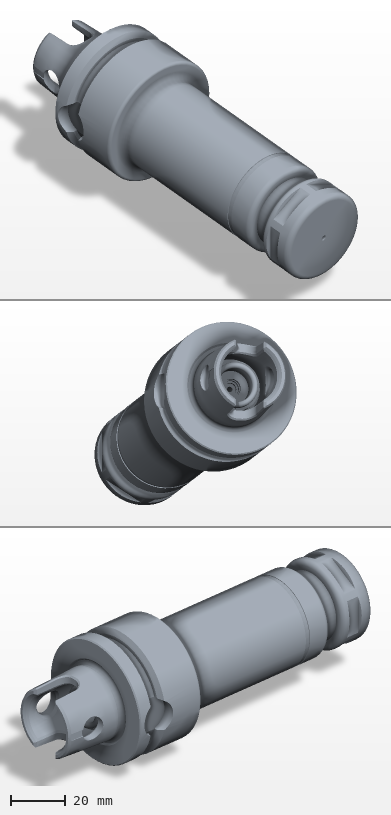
import cadquery as cq
import math

total_length = 145.0

face_x = 25.0
gauge_radius = 15.01
taper_slope = 1 / 20
taper_end_x = 22.9
nose_chamfer_length = 1.0
nose_chamfer_depth = 0.6
bore_radius = 10.7
bore_chamfer_length = 0.9
bore_chamfer_depth = 0.7
bore_lead_length = 0.9
bore_lead_depth = 0.6
bore_depth = 24.6

neck_radius = 14.8
neck_chamfer_length = 0.5
root_fillet = 1.0
recess_radius = 17.0
recess_depth = 0.6
recess_wall_width = 0.7

flange_radius = 25.01
flange_end_x = 55.0
face_chamfer = 0.5
flange_rim_fillet = 1.2
groove_start_x = 30.6
groove_end_x = 37.3
groove_flank_length = 1.3
groove_flank_radius = 22.8
groove_floor_radius = 21.3

body_radius = 18.0
body_root_fillet = 2.8
body_end_x = 124.0
body_end_fillet = 1.9
ring_start_x = 112.2
ring_end_x = 114.3
ring_depth = 0.3

collar_radius = 13.99
nut_start_x = 130.6
nut_fillet = 2.0
nut_flat_count = 6
nut_flat_distance = 16.2
nut_flat_start_x = 134.0
nut_flat_end_x = 139.2
nut_flat_wall_lean = 0.5

slot_width = 10.5
slot_end_x = 14.2
slot_corner_radius = 4.0
slot_edge_chamfer = 0.6
slot_mouth_chamfer = 0.9
cross_hole_x = 11.2
cross_hole_diameter = 9.5
cross_hole_chamfer = 0.9
flat_width = 2.9
flat_distance = 13.6

pocket_diameter = 14.0
pocket_x = 34.0
pocket_floor_distance = 20.2

tube_tip_x = 18.5
tube_outer_radius = 8.48
tube_inner_radius = 6.4
tube_nut_radius = 9.5
tube_nut_tip_x = 20.9

coolant_steps = [(6.8, 0.9), (6.0, 1.7), (4.5, 2.6)]
coolant_diameter = 2.0


def revolve(outline):
    """Turn a closed outline of X and radius about the X axis."""
    return outline.close().revolve(360, (0, 0, 0), (1, 0, 0))


def hollow_shank():
    """Tapered sleeve with chamfered mouth, drive slots, cross hole and flats."""
    nose_radius = gauge_radius - taper_slope * face_x
    taper_end_radius = gauge_radius - taper_slope * (face_x - taper_end_x)
    sleeve = revolve(
        cq.Workplane("XY")
        .moveTo(0, bore_radius)
        .lineTo(0, nose_radius)
        .lineTo(taper_end_x, taper_end_radius)
        .lineTo(taper_end_x, bore_radius)
    )
    sleeve = sleeve.cut(drive_slot())
    for side in (-1, 1):
        slot_zone = cq.selectors.BoxSelector(
            (-slot_width, -slot_width, 0),
            (slot_end_x + slot_edge_chamfer, slot_width, side * 2 * gauge_radius),
            boundingbox=True,
        )
        rims = sleeve.edges(slot_zone).filter(runs_along_axis)
        sleeve = sleeve.newObject(rims.vals()).chamfer(slot_edge_chamfer)

    lead_radius = bore_radius + bore_lead_depth
    chamfered_mouth = revolve(
        cq.Workplane("XY")
        .moveTo(0, lead_radius + bore_chamfer_depth)
        .lineTo(0, nose_radius - nose_chamfer_depth)
        .lineTo(nose_chamfer_length, nose_radius + taper_slope * nose_chamfer_length)
        .lineTo(taper_end_x, taper_end_radius)
        .lineTo(taper_end_x, bore_radius)
        .lineTo(bore_chamfer_length + bore_lead_length, bore_radius)
        .lineTo(bore_chamfer_length, lead_radius)
    )
    cross_hole = (
        cq.Workplane("XZ", origin=(cross_hole_x, 0, 0))
        .circle(cross_hole_diameter / 2)
        .extrude(2 * gauge_radius, both=True)
    )
    sleeve = sleeve.cut(cross_hole)
    inner_zone = cq.selectors.BoxSelector(
        (0, -bore_radius - cross_hole_chamfer, -cross_hole_diameter / 2 - cross_hole_chamfer),
        (taper_end_x, bore_radius + cross_hole_chamfer, cross_hole_diameter / 2 + cross_hole_chamfer),
        boundingbox=True,
    )
    hole_rims = sleeve.edges(inner_zone).filter(lambda edge: edge.geomType() == "BSPLINE")
    sleeve = sleeve.newObject(hole_rims.vals()).chamfer(cross_hole_chamfer)
    sleeve = sleeve.intersect(chamfered_mouth)
    for side in (-1, 1):
        flat_depth = gauge_radius - flat_distance
        flat = cq.Workplane("XY").box(2 * cross_hole_x, flat_depth, flat_width)
        sleeve = sleeve.cut(flat.translate((0, side * (flat_distance + flat_depth / 2), 0)))
    return sleeve


def drive_slot():
    """Cutter along Z through both walls, with rounded end corners and a flared mouth."""
    half_width = slot_width / 2
    half_mouth = half_width + slot_mouth_chamfer
    return (
        cq.Workplane("XY")
        .polyline([
            (0, -half_mouth),
            (slot_mouth_chamfer, -half_width),
            (slot_end_x, -half_width),
            (slot_end_x, half_width),
            (slot_mouth_chamfer, half_width),
            (0, half_mouth),
        ])
        .close()
        .extrude(2 * gauge_radius, both=True)
        .edges("|Z and >X")
        .fillet(slot_corner_radius)
    )


def runs_along_axis(edge):
    """True for edges longer in X than the mouth chamfer of a slot."""
    return edge.BoundingBox().xlen > 2 * slot_mouth_chamfer


def turned_body():
    """Everything behind the taper that is turned about the axis."""
    recess_floor_x = face_x + recess_depth
    flank_in_x = groove_start_x + groove_flank_length
    flank_out_x = groove_end_x - groove_flank_length
    diagonal = math.sqrt(0.5)

    def corner(x, radius, size, x_side, radius_side):
        """Middle point of a quarter arc of the given size about (x, radius)."""
        return (x + x_side * size * diagonal, radius + radius_side * size * diagonal)

    outline = (
        cq.Workplane("XY")
        .moveTo(taper_end_x, 0)
        .lineTo(taper_end_x, gauge_radius - taper_slope * (face_x - taper_end_x))
        .lineTo(taper_end_x + neck_chamfer_length, neck_radius)
        .lineTo(recess_floor_x - root_fillet, neck_radius)
        .threePointArc(
            corner(recess_floor_x - root_fillet, neck_radius + root_fillet, root_fillet, 1, -1),
            (recess_floor_x, neck_radius + root_fillet),
        )
        .lineTo(recess_floor_x, recess_radius - recess_wall_width)
        .lineTo(face_x, recess_radius)
        .lineTo(face_x, flange_radius - face_chamfer)
        .lineTo(face_x + face_chamfer, flange_radius)
        .lineTo(groove_start_x, flange_radius)
        .lineTo(flank_in_x, groove_flank_radius)
        .lineTo(flank_in_x, groove_floor_radius)
        .lineTo(flank_out_x, groove_floor_radius)
        .lineTo(flank_out_x, groove_flank_radius)
        .lineTo(groove_end_x, flange_radius)
        .lineTo(flange_end_x - flange_rim_fillet, flange_radius)
        .threePointArc(
            corner(flange_end_x - flange_rim_fillet, flange_radius - flange_rim_fillet,
                   flange_rim_fillet, 1, 1),
            (flange_end_x, flange_radius - flange_rim_fillet),
        )
        .lineTo(flange_end_x, body_radius + body_root_fillet)
        .threePointArc(
            corner(flange_end_x + body_root_fillet, body_radius + body_root_fillet,
                   body_root_fillet, -1, -1),
            (flange_end_x + body_root_fillet, body_radius),
        )
        .lineTo(ring_start_x, body_radius)
        .lineTo(ring_start_x, body_radius - ring_depth)
        .lineTo(ring_end_x, body_radius - ring_depth)
        .lineTo(ring_end_x, body_radius)
        .lineTo(body_end_x - body_end_fillet, body_radius)
        .threePointArc(
            corner(body_end_x - body_end_fillet, body_radius - body_end_fillet,
                   body_end_fillet, 1, 1),
            (body_end_x, body_radius - body_end_fillet),
        )
        .lineTo(body_end_x, collar_radius)
        .lineTo(nut_start_x, collar_radius)
        .lineTo(nut_start_x, body_radius - nut_fillet)
        .threePointArc(
            corner(nut_start_x + nut_fillet, body_radius - nut_fillet, nut_fillet, -1, 1),
            (nut_start_x + nut_fillet, body_radius),
        )
        .lineTo(total_length - nut_fillet, body_radius)
        .threePointArc(
            corner(total_length - nut_fillet, body_radius - nut_fillet, nut_fillet, 1, 1),
            (total_length, body_radius - nut_fillet),
        )
        .lineTo(total_length, 0)
    )
    return revolve(outline)


def flange_pockets():
    """Two round flat-floored pockets, on the -Y and +Y sides of the flange."""
    pocket = (
        cq.Workplane("XZ", origin=(pocket_x, -pocket_floor_distance, 0))
        .circle(pocket_diameter / 2)
        .extrude(flange_radius)
    )
    return pocket.union(pocket.mirror("XZ"))


def nut_flats():
    """Spanner flats around the nut, each with two leaning end walls."""
    height = 2 * (body_radius - nut_flat_distance)
    lean = nut_flat_wall_lean * 2
    cutter = (
        cq.Workplane("XY")
        .polyline([
            (nut_flat_start_x, nut_flat_distance),
            (nut_flat_end_x, nut_flat_distance),
            (nut_flat_end_x + lean, nut_flat_distance + height),
            (nut_flat_start_x - lean, nut_flat_distance + height),
        ])
        .close()
        .extrude(body_radius, both=True)
    )
    cutters = cutter
    for index in range(1, nut_flat_count):
        cutters = cutters.union(cutter.rotate((0, 0, 0), (1, 0, 0), index * 360 / nut_flat_count))
    return cutters


def coolant_tube():
    """Tube with a rounded rim, held in a ring nut on the floor of the shank bore."""
    rim_radius = (tube_outer_radius - tube_inner_radius) / 2
    return revolve(
        cq.Workplane("XY")
        .moveTo(bore_depth, tube_inner_radius)
        .lineTo(tube_tip_x + rim_radius, tube_inner_radius)
        .threePointArc(
            (tube_tip_x, tube_inner_radius + rim_radius),
            (tube_tip_x + rim_radius, tube_outer_radius),
        )
        .lineTo(tube_nut_tip_x, tube_outer_radius)
        .lineTo(tube_nut_tip_x, tube_nut_radius)
        .lineTo(bore_depth, tube_nut_radius)
    )


def along_axis(diameter, start_x, length):
    """Cylinder on the X axis."""
    return cq.Workplane("YZ", origin=(start_x, 0, 0)).circle(diameter / 2).extrude(length)


result = turned_body().cut(along_axis(2 * bore_radius, 0, bore_depth))
result = result.union(hollow_shank()).union(coolant_tube())
result = result.cut(flange_pockets()).cut(nut_flats())
for step_diameter, step_depth in coolant_steps:
    result = result.cut(along_axis(step_diameter, bore_depth, step_depth))
result = result.cut(along_axis(coolant_diameter, 0, total_length))